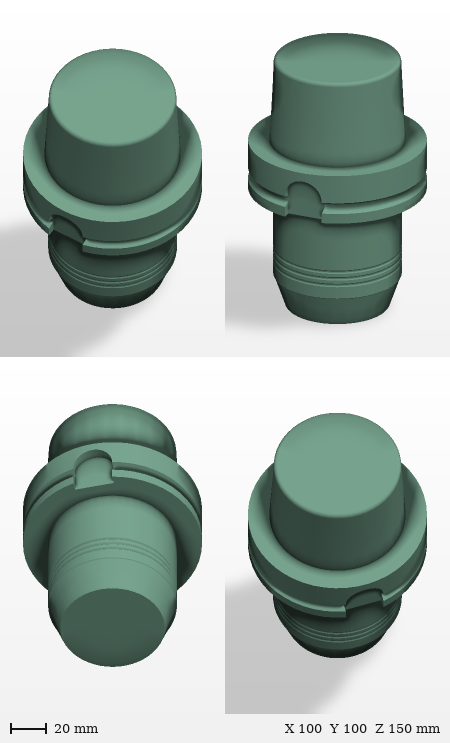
import cadquery as cq

total_height = 150.0
flange_top = 100.0
flange_thickness = 29.1
flange_bottom = flange_top - flange_thickness

shank_base_radius = 38.1
shank_top_radius = 35.5
shank_edge_fillet = 2.1

flange_radius = 100.0 / 2
groove_center = 80.1
groove_mouth_width = 6.6
groove_root_width = 3.6
groove_depth = 3.9
groove_root_fillet = 1.2

slot_width = 22.2
slot_height = 24.0
slot_floor = 44.0

body_radius = 72.0 / 2
neck_relief_height = 0.9
neck_relief_depth = 0.2
nose_cone_height = 18.6
nose_shoulder_chamfer = 0.5
nose_end_radius = 29.5
nose_edge_chamfer = 0.8

ring_top = 35.8
ring_pitch = 4.0
ring_width = 2.1
ring_depth = 0.5
ring_count = 3


def revolve_profile(points):
    """Revolve a closed outline of (radius, height) points about the Z axis."""
    return cq.Workplane("XZ").polyline(points).close().revolve(360, (0, 0, 0), (0, 1, 0))


def make_blank():
    """Solid of revolution for the shank, flange, body and nose."""
    return revolve_profile([
        (0, 0),
        (nose_end_radius - nose_edge_chamfer / 2, 0),
        (nose_end_radius, nose_edge_chamfer),
        (body_radius - nose_shoulder_chamfer, nose_cone_height - nose_shoulder_chamfer),
        (body_radius, nose_cone_height),
        (body_radius, flange_bottom - neck_relief_height),
        (body_radius - neck_relief_depth, flange_bottom),
        (flange_radius, flange_bottom),
        (flange_radius, flange_top),
        (shank_base_radius, flange_top),
        (shank_top_radius, total_height),
        (0, total_height),
    ])


def make_groove(radius, center, depth, mouth_width, root_width):
    """Ring with sloping sides that cuts a groove into a cylinder of the given radius."""
    return revolve_profile([
        (radius, center - mouth_width / 2),
        (radius - depth, center - root_width / 2),
        (radius - depth, center + root_width / 2),
        (radius, center + mouth_width / 2),
    ])


def make_driving_slot():
    """Round-topped slot on the -Y side, open through the underside of the flange."""
    half_width = slot_width / 2
    slot_top = flange_bottom + slot_height
    arch_start = slot_top - half_width
    return (
        cq.Workplane("XZ", origin=(0, -slot_floor, 0))
        .moveTo(-half_width, flange_bottom)
        .lineTo(half_width, flange_bottom)
        .lineTo(half_width, arch_start)
        .threePointArc((0, slot_top), (-half_width, arch_start))
        .close()
        .extrude(flange_radius - slot_floor)
    )


gripper_groove = make_groove(
    flange_radius, groove_center, groove_depth, groove_mouth_width, groove_root_width
)
groove_root_edges = cq.selectors.RadiusNthSelector(0)
gripper_groove = gripper_groove.edges(groove_root_edges).fillet(groove_root_fillet)

result = make_blank().faces(">Z").edges().fillet(shank_edge_fillet)
result = result.cut(gripper_groove)

for index in range(ring_count):
    ring_center = ring_top - ring_width / 2 - index * ring_pitch
    result = result.cut(make_groove(body_radius, ring_center, ring_depth, ring_width, ring_width / 3))

driving_slot = make_driving_slot()
result = result.cut(driving_slot)
result = result.cut(driving_slot.mirror("XZ"))